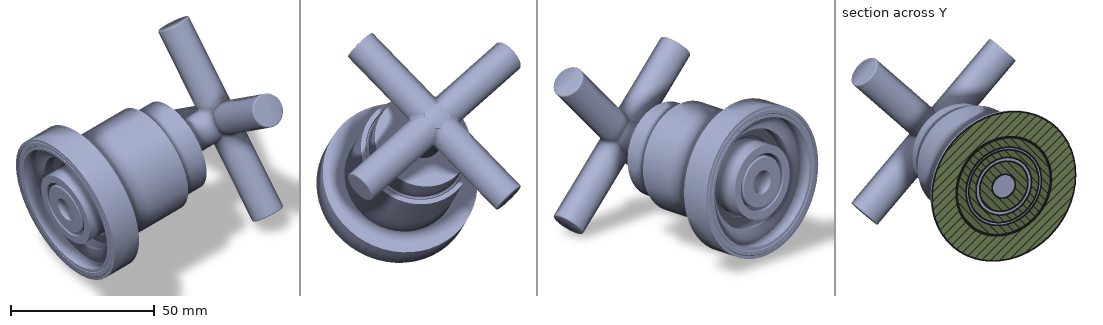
import cadquery as cq
import math


flange_radius = 27.55
flange_length = 10.9
sleeve_radius = 19.8
sleeve_end = 39.0
mount_pocket_radius = 23.5
mount_pocket_depth = 5.0
bore_radius = 18.2

ring_outer_radius = 26.5
ring_inner_radius = 24.5
notch_size = 0.3

hub_clearance = 0.2
hub_radius = bore_radius - hub_clearance
hub_start = 9.0
collar_radius = 17.0
collar_end = 49.4

recess_radius = 14.3
recess_chamfer = 0.4
recess_depth = 1.1
root_radius = 13.85
root_cone_depth = 0.2

tube_radius = 13.5
socket_radius = 10.5
socket_depth = 10.0
post_radius = 9.3
post_chamfer = 0.3
screw_hole_radius = 4.3
screw_hole_depth = 10.0

stem_radius = 6.4
stem_tip = 75.7
cap_radius = 4.55
dome_radius = 12.9
bar_radius = 6.0
bar_length = 75.0
bar_axis = 69.3
bar_end_fillet = 0.5
bar_angles = (45, -45)
crease_fillet = 1.0
stem_joint_fillet = 0.5
cap_joint_fillet = 0.2
seam_angle = 225


def revolve_about_y(points):
    """Solid of revolution about Y from (radius, y) points."""
    return cq.Workplane("XY").polyline(points).close().revolve(360, (0, 0, 0), (0, 1, 0))


def face_notch(tip_radius, slope_radius):
    """V notch in the mounting face: straight wall at tip_radius, slope rising to slope_radius."""
    return revolve_about_y([(tip_radius, 0), (tip_radius, notch_size), (slope_radius, 0)])


def make_escutcheon():
    """Flanged sleeve with a through bore and a pocketed mounting face."""
    body = revolve_about_y([
        (mount_pocket_radius, 0),
        (flange_radius, 0),
        (flange_radius, flange_length),
        (sleeve_radius, flange_length),
        (sleeve_radius, sleeve_end),
        (bore_radius, sleeve_end),
        (bore_radius, mount_pocket_depth),
        (mount_pocket_radius, mount_pocket_depth),
    ])
    outer_notch = face_notch(ring_outer_radius, ring_outer_radius - notch_size)
    inner_notch = face_notch(ring_inner_radius, ring_inner_radius + notch_size)
    return body.cut(outer_notch).cut(inner_notch)


def make_hub():
    """Hub and collar with the recessed socket tube and its post."""
    recess_floor = hub_start + recess_depth
    return revolve_about_y([
        (0, screw_hole_depth),
        (screw_hole_radius, screw_hole_depth),
        (screw_hole_radius, 0),
        (post_radius - post_chamfer, 0),
        (post_radius, post_chamfer),
        (post_radius, socket_depth),
        (socket_radius, socket_depth),
        (socket_radius, 0),
        (tube_radius, 0),
        (tube_radius, recess_floor + root_cone_depth),
        (root_radius, recess_floor),
        (recess_radius, recess_floor),
        (recess_radius, hub_start + recess_chamfer),
        (recess_radius + recess_chamfer, hub_start),
        (hub_radius, hub_start),
        (hub_radius, sleeve_end),
        (collar_radius, sleeve_end),
        (collar_radius, collar_end),
        (0, collar_end),
    ])


def make_stem():
    """Round stem with a narrower domed cap that stands out between the bars."""
    dome_center = stem_tip - dome_radius
    dome_start = dome_center + math.sqrt(dome_radius**2 - cap_radius**2)
    profile = (
        cq.Workplane("XY")
        .moveTo(0, collar_end)
        .lineTo(stem_radius, collar_end)
        .lineTo(stem_radius, bar_axis)
        .lineTo(cap_radius, bar_axis)
        .lineTo(cap_radius, dome_start)
        .radiusArc((0, stem_tip), -dome_radius)
        .close()
    )
    stem = profile.revolve(360, (0, 0, 0), (0, 1, 0))
    return stem.rotate((0, 0, 0), (0, 1, 0), seam_angle)


def make_bar(angle):
    """Cross bar lying in a plane of constant Y, tilted about Y."""
    bar = cq.Workplane("YZ").circle(bar_radius).extrude(bar_length / 2, both=True)
    bar = bar.faces("<X or >X").edges().fillet(bar_end_fillet)
    return bar.rotate((0, 0, 0), (0, 1, 0), angle).translate((0, bar_axis, 0))


def joint_zone(near, far):
    """Selects edges close to the bar crossing, from near to far along Y as seen from the bar axis."""
    reach = math.sqrt(2) * bar_radius
    return cq.selectors.BoxSelector(
        (-reach, bar_axis + near, -reach),
        (reach, bar_axis + far, reach),
    )


def make_grip():
    """Stem and crossed bars with rounded joints."""
    grip = make_stem()
    for angle in bar_angles:
        grip = grip.union(make_bar(angle))

    half_radius = bar_radius / 2
    creases = joint_zone(-half_radius, half_radius)
    grip = grip.edges(creases).edges("%ELLIPSE").fillet(crease_fillet)

    below = joint_zone(-2 * bar_radius, -half_radius)
    grip = grip.edges(below).edges("%BSPLINE").fillet(stem_joint_fillet)

    above = joint_zone(half_radius, 2 * bar_radius)
    return grip.edges(above).edges("%BSPLINE").fillet(cap_joint_fillet)


escutcheon = make_escutcheon()
handle = make_hub().union(make_grip())

result = cq.Compound.makeCompound([escutcheon.val(), handle.val()])